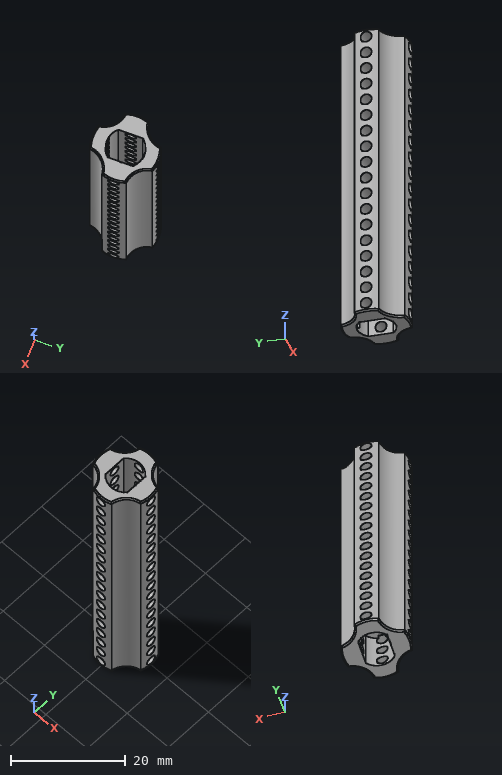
import cadquery as cq
import math

length = 56.25
outer_diameter = 12.5
land_width = 4.5
flute_gap = 9.6
end_chamfer = 0.3

socket_diameter = 7.0
socket_width = 5.3
web_bottom = 8.6
web_top = 10.9
web_core_diameter = 5.95
web_bore_diameter = 3.0

hole_diameter = 2.0
hole_count = 18
hole_pitch = length / hole_count


def fluted_bar():
    """Round bar with four concave flutes and chamfered ends."""
    outer_radius = outer_diameter / 2
    half_land = land_width / 2
    land_edge = math.sqrt(outer_radius**2 - half_land**2)
    flute_middle = flute_gap / 2 * math.sqrt(0.5)

    def turned(x, y, angle):
        """Turn a point about the bar axis."""
        cosine = math.cos(angle)
        sine = math.sin(angle)
        return (x * cosine - y * sine, x * sine + y * cosine)

    outline = cq.Workplane("XY").moveTo(land_edge, -half_land)
    for quarter in range(4):
        angle = quarter * math.pi / 2
        land_middle = turned(outer_radius, 0, angle)
        land_end = turned(land_edge, half_land, angle)
        flute_bottom = turned(flute_middle, flute_middle, angle)
        flute_end = turned(half_land, land_edge, angle)
        outline = outline.threePointArc(land_middle, land_end).threePointArc(flute_bottom, flute_end)
    return outline.close().extrude(length).faces("<Z or >Z").chamfer(end_chamfer)


def upright_cylinder(diameter, bottom, top):
    """Cylinder on the bar axis between two heights."""
    return cq.Workplane("XY").workplane(offset=bottom).circle(diameter / 2).extrude(top - bottom)


def socket(bottom, top):
    """Round socket with a flat on each X side."""
    flats = (
        cq.Workplane("XY")
        .workplane(offset=bottom)
        .rect(socket_width, socket_diameter)
        .extrude(top - bottom)
    )
    return upright_cylinder(socket_diameter, bottom, top).intersect(flats)


def hole_row(plane):
    """Row of holes right through the bar, square to a plane that contains the bar axis."""
    centers = [(0, (index + 0.5) * hole_pitch) for index in range(hole_count)]
    return (
        cq.Workplane(plane)
        .pushPoints(centers)
        .circle(hole_diameter / 2)
        .extrude(outer_diameter, both=True)
    )


bar = fluted_bar().cut(socket(0, web_bottom)).cut(socket(web_top, length))
drilled_bar = bar.cut(hole_row("XZ")).cut(hole_row("YZ"))

web_core = upright_cylinder(web_core_diameter, web_bottom, web_top)
web_bore = upright_cylinder(web_bore_diameter, web_bottom, web_top)
result = drilled_bar.union(web_core).cut(web_bore)